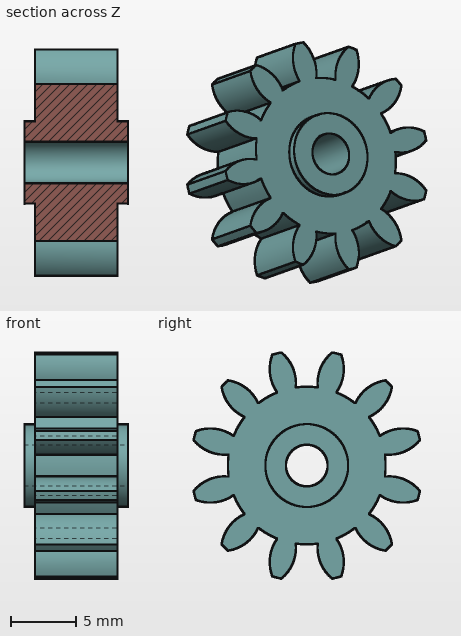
import cadquery as cq
import math

tooth_count = 12
tip_diameter = 17.78
root_diameter = 12.1
tip_half_width = 0.355
root_half_width = 0.75
flank_radius = 3.05

face_width = 6.35
hub_diameter = 6.35
hub_height = 0.8
bore_diameter = 3.175

tip_radius = tip_diameter / 2
root_radius = root_diameter / 2
overall_length = face_width + 2 * hub_height
tooth_pitch_angle = 2 * math.pi / tooth_count
tip_half_angle = math.asin(tip_half_width / tip_radius)
root_half_angle = math.asin(root_half_width / root_radius)


def polar(radius, angle):
    """Point at a radius and an angle (radians) around the gear axis."""
    return (radius * math.cos(angle), radius * math.sin(angle))


def flank_peak():
    """Radius and angle from the tooth axis of the middle point of a flank arc."""
    root_x, root_y = polar(root_radius, root_half_angle)
    tip_x, tip_y = polar(tip_radius, tip_half_angle)
    run = tip_x - root_x
    drop = root_y - tip_y
    chord = math.hypot(run, drop)
    bulge = flank_radius - math.sqrt(flank_radius**2 - (chord / 2) ** 2)
    x = (root_x + tip_x) / 2 + bulge * drop / chord
    y = (root_y + tip_y) / 2 + bulge * run / chord
    return math.hypot(x, y), math.atan2(y, x)


def gear_outline():
    """Closed tooth profile in the YZ plane, with a gap centred on each of Y and Z."""
    peak_radius, peak_angle = flank_peak()
    first_tooth = tooth_pitch_angle / 2
    outline = cq.Workplane("YZ", origin=(-face_width / 2, 0, 0))
    outline = outline.moveTo(*polar(root_radius, first_tooth - root_half_angle))
    for index in range(tooth_count):
        tooth = first_tooth + index * tooth_pitch_angle
        tip_start = polar(tip_radius, tooth - tip_half_angle)
        tip_end = polar(tip_radius, tooth + tip_half_angle)
        gap_start = polar(root_radius, tooth + root_half_angle)
        gap_end = polar(root_radius, tooth + tooth_pitch_angle - root_half_angle)
        outline = (
            outline
            .threePointArc(polar(peak_radius, tooth - peak_angle), tip_start)
            .threePointArc(polar(tip_radius, tooth), tip_end)
            .threePointArc(polar(peak_radius, tooth + peak_angle), gap_start)
            .threePointArc(polar(root_radius, tooth + tooth_pitch_angle / 2), gap_end)
        )
    return outline.close()


def axial_cylinder(diameter):
    """Cylinder on the X axis, as long as the part and centred on its middle."""
    return (
        cq.Workplane("YZ", origin=(-overall_length / 2, 0, 0))
        .circle(diameter / 2)
        .extrude(overall_length)
    )


toothed_body = gear_outline().extrude(face_width)
hubs = axial_cylinder(hub_diameter)
bore = axial_cylinder(bore_diameter)

result = toothed_body.union(hubs).cut(bore)